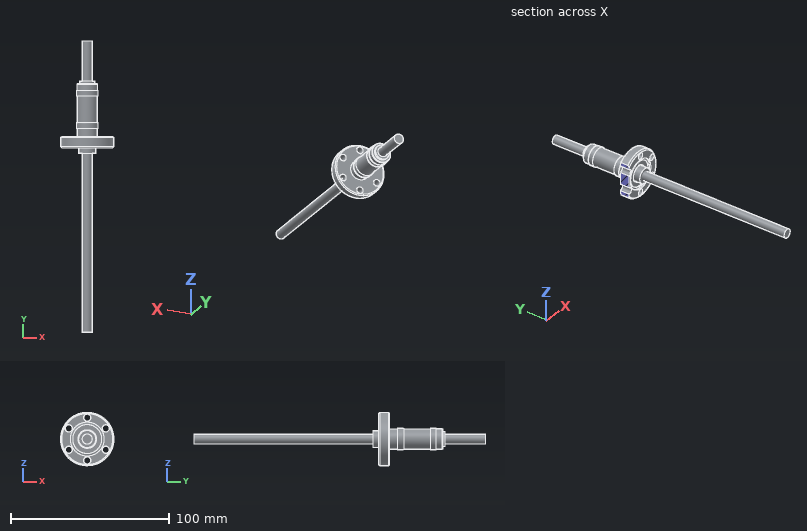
import cadquery as cq
import math


ROD_DIAMETER = 6.35
ROD_LENGTH = 184.15
ROD_FRONT_REACH = 116.4

FLANGE_DIAMETER = 33.78
FLANGE_THICKNESS = 7.2
FLANGE_CHAMFER_RADIAL = 0.8
FRONT_CHAMFER_LENGTH = 1.1
BACK_CHAMFER_LENGTH = 0.6

RECESS_DIAMETER = 21.4
RECESS_DEPTH = 1.2
KNIFE_DIAMETER = 18.3
KNIFE_HEIGHT = 0.3

BOLT_COUNT = 6
BOLT_CIRCLE_DIAMETER = 27.0
BOLT_HOLE_DIAMETER = 4.37

STUB_DIAMETER = 10.8
STUB_REACH = 3.4
STUB_GAP_DIAMETER = 11.7
STUB_GAP_DEPTH = 1.0

BRAZE_RADIUS = 0.25

BODY_DIAMETER = 12.9
COLLAR_DIAMETER = 13.7
REAR_SHELL_DIAMETER = 13.1
CAP_DIAMETER = 9.6
FRONT_COLLAR_START = 12.2
FRONT_COLLAR_END = 16.1
REAR_COLLAR_START = 32.9
REAR_COLLAR_END = 36.4
SHELL_END = 40.75
CAP_END = 42.3
SHELL_CHAMFER_LENGTH = 0.5
SHELL_CHAMFER_RADIAL = 0.25
COLLAR_CHAMFER_LENGTH = 0.6
COLLAR_CHAMFER_RADIAL = 0.15


def cylinder(diameter, start, end):
    """Solid cylinder on the Y axis between two stations."""
    plane = cq.Workplane(cq.Plane(origin=(0, start, 0), xDir=(1, 0, 0), normal=(0, 1, 0)))
    return plane.circle(diameter / 2).extrude(end - start)


def revolve_profile(points):
    """Solid of revolution about Y from (radius, station) points."""
    return cq.Workplane("XY").polyline(points).close().revolve(360, (0, 0, 0), (0, 1, 0))


def make_flange():
    """Chamfered disc with the knife-edge recess in its front face."""
    outer = FLANGE_DIAMETER / 2
    rim = outer - FLANGE_CHAMFER_RADIAL
    recess = RECESS_DIAMETER / 2
    knife = KNIFE_DIAMETER / 2
    return revolve_profile([
        (0, RECESS_DEPTH),
        (knife, RECESS_DEPTH),
        (knife, RECESS_DEPTH - KNIFE_HEIGHT),
        (recess, RECESS_DEPTH),
        (recess, 0),
        (rim, 0),
        (outer, FRONT_CHAMFER_LENGTH),
        (outer, FLANGE_THICKNESS - BACK_CHAMFER_LENGTH),
        (rim, FLANGE_THICKNESS),
        (0, FLANGE_THICKNESS),
    ])


def make_bolt_holes():
    """Through holes on the bolt circle, the first on +Z."""
    holes = cq.Workplane("XY")
    for index in range(BOLT_COUNT):
        angle = math.radians(90 + index * 360 / BOLT_COUNT)
        x = BOLT_CIRCLE_DIAMETER / 2 * math.cos(angle)
        z = BOLT_CIRCLE_DIAMETER / 2 * math.sin(angle)
        hole = cylinder(BOLT_HOLE_DIAMETER, 0, FLANGE_THICKNESS)
        holes = holes.add(hole.translate((x, 0, z)))
    return holes.combine()


def chamfered_cylinder(diameter, start, end, chamfer_length, chamfer_radial):
    """Solid cylinder on the Y axis with a chamfer around its +Y end."""
    outer = diameter / 2
    return revolve_profile([
        (0, start),
        (outer, start),
        (outer, end - chamfer_length),
        (outer - chamfer_radial, end),
        (0, end),
    ])


def make_insulator():
    """Body with two raised collars, a chamfered rear shell and a smaller end cap."""
    body = cylinder(BODY_DIAMETER, FLANGE_THICKNESS, REAR_COLLAR_START)
    front_collar = chamfered_cylinder(
        COLLAR_DIAMETER, FRONT_COLLAR_START, FRONT_COLLAR_END,
        COLLAR_CHAMFER_LENGTH, COLLAR_CHAMFER_RADIAL,
    )
    rear_collar = cylinder(COLLAR_DIAMETER, REAR_COLLAR_START, REAR_COLLAR_END)
    shell = chamfered_cylinder(
        REAR_SHELL_DIAMETER, REAR_COLLAR_END, SHELL_END,
        SHELL_CHAMFER_LENGTH, SHELL_CHAMFER_RADIAL,
    )
    cap = cylinder(CAP_DIAMETER, SHELL_END, CAP_END)
    return body.union(front_collar).union(rear_collar).union(shell).union(cap)


def braze_ring(diameter, station, direction):
    """Concave fillet ring around a cylinder, tapering away from a step along Y."""
    inner = diameter / 2
    outer = inner + BRAZE_RADIUS
    tip = station + direction * BRAZE_RADIUS
    centre_offset = BRAZE_RADIUS * (1 - math.sqrt(0.5))
    middle = (inner + centre_offset, station + direction * centre_offset)
    profile = cq.Workplane("XY").moveTo(inner, station).lineTo(outer, station)
    profile = profile.threePointArc(middle, (inner, tip)).close()
    return profile.revolve(360, (0, 0, 0), (0, 1, 0))


stub_gap = cylinder(STUB_GAP_DIAMETER, RECESS_DEPTH, RECESS_DEPTH + STUB_GAP_DEPTH)
flange = make_flange().cut(make_bolt_holes()).cut(stub_gap)
stub = cylinder(STUB_DIAMETER, -STUB_REACH, RECESS_DEPTH + STUB_GAP_DEPTH)
rod = cylinder(ROD_DIAMETER, -ROD_FRONT_REACH, ROD_LENGTH - ROD_FRONT_REACH)

result = flange.union(make_insulator()).union(stub).union(rod)
result = result.union(braze_ring(ROD_DIAMETER, -STUB_REACH, -1))
result = result.union(braze_ring(BODY_DIAMETER, FRONT_COLLAR_END, 1))
result = result.union(braze_ring(BODY_DIAMETER, REAR_COLLAR_START, -1))